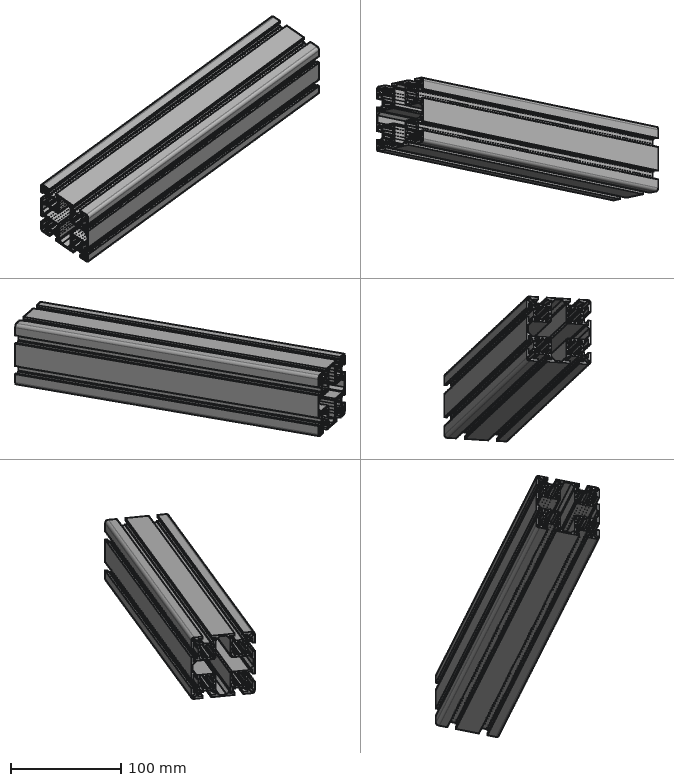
import cadquery as cq
import math

length = 300.0
width = 60.0
half_width = width / 2
half_module = half_width / 2
corner_radius = 3.0

skin = 1.5
lip_thickness = 2.25
slot_opening = 8.0
slot_depth = 6.0
slot_width = 16.8
ledge_depth = 4.2
slot_floor_width = 12.3
recess_width = 7.5

strut_slot_side = 3.0
strut_hollow_side = 1.8

core_half = 8.0
core_wall = 1.05
core_hole_half = core_half - core_wall
core_hole_chamfer = 1.0
hollow_floor_reach = 15.0

teeth_bore_radius = 6.0
teeth_span = 6.5
notch_width = 1.8

cross_half = half_module - core_half
cross_corner_chamfer = core_hole_chamfer + (2 - math.sqrt(2)) * core_wall

QUARTER_TURNS = (0, 90, 180, 270)


def prism(outline):
    """Extrude a closed section outline over the full length, centred on Y = 0."""
    return outline.extrude(length / 2, both=True)


def polygon(points):
    return prism(cq.Workplane("XZ").polyline(points).close())


def square(half_side):
    return prism(cq.Workplane("XZ").rect(2 * half_side, 2 * half_side))


def turned(body, angle):
    """Turn a body about the Y axis."""
    return body.rotate((0, 0, 0), (0, 1, 0), angle)


def t_slot():
    """Slot in the +Z face of a module: mouth, wide part with sloped corners, grooved floor."""
    mouth = slot_opening / 2
    under_lip = half_module - lip_thickness
    floor = half_module - slot_depth
    side = slot_width / 2
    ledge = half_module - ledge_depth
    recess = recess_width / 2
    floor_edge = slot_floor_width / 2
    right_side = [
        (mouth, half_module),
        (mouth, under_lip),
        (side, under_lip),
        (side, side + strut_slot_side),
        (ledge - strut_slot_side, ledge),
        (floor_edge, ledge),
        (floor_edge, floor),
        (recess, floor),
        (recess, core_half),
    ]
    left_side = [(-x, z) for x, z in reversed(right_side)]
    return polygon(right_side + left_side)


def corner_hollow():
    """Closed channel on the diagonal toward the (+X, +Z) corner of a module."""
    outer = half_module - skin
    shoulder = outer - strut_hollow_side
    floor_near = (hollow_floor_reach - strut_hollow_side) / 2
    floor_far = (hollow_floor_reach + strut_hollow_side) / 2
    hollow = polygon([
        (outer, outer),
        (shoulder, outer),
        (floor_near, floor_far),
        (floor_far, floor_near),
        (outer, shoulder),
    ])
    corner_edge = cq.selectors.NearestToPointSelector((outer, 0, outer))
    return hollow.edges("|Y").edges(corner_edge).fillet(corner_radius - skin)


def teeth_pair():
    """Two teeth on the +Z side of the core hole, parted by a V notch."""
    half_span = teeth_span / 2
    block = polygon([
        (-half_span, 0),
        (half_span, 0),
        (half_span, core_hole_half),
        (-half_span, core_hole_half),
    ])
    bore = prism(cq.Workplane("XZ").circle(teeth_bore_radius))
    notch_base = math.sqrt(teeth_bore_radius**2 - (notch_width / 2) ** 2)
    notch = polygon([
        (-notch_width / 2, notch_base),
        (-notch_width / 2, 0),
        (notch_width / 2, 0),
        (notch_width / 2, notch_base),
        (0, core_hole_half),
    ])
    return block.cut(bore).cut(notch)


def core_hole():
    hole = square(core_hole_half).edges("|Y").chamfer(core_hole_chamfer)
    teeth = teeth_pair()
    for angle in QUARTER_TURNS:
        hole = hole.cut(turned(teeth, angle))
    return hole


def cross_arm():
    """Upper arm of the central cross cavity, widening along the struts below the skin."""
    outer = half_width - skin
    strut_start = half_module + core_half + strut_hollow_side
    strut_end_x = cross_half - (outer - strut_start)
    return polygon([
        (-cross_half, 0),
        (cross_half, 0),
        (cross_half, strut_start),
        (strut_end_x, outer),
        (-strut_end_x, outer),
        (-cross_half, strut_start),
    ])


def cross_cavity():
    arm = cross_arm()
    cavity = arm
    for angle in QUARTER_TURNS[1:]:
        cavity = cavity.union(turned(arm, angle))
    reach = cross_half + skin
    inner_corners = cq.selectors.BoxSelector(
        (-reach, -length, -reach),
        (reach, length, reach),
    )
    return cavity.edges("|Y").edges(inner_corners).chamfer(cross_corner_chamfer)


def module_cavities():
    """All cavities of the module in the (+X, +Z) quadrant."""
    slot = t_slot()
    bodies = [slot, turned(slot, 90), corner_hollow(), core_hole()]
    return [body.translate((half_module, 0, half_module)) for body in bodies]


result = square(half_width).edges("|Y").fillet(corner_radius)
result = result.cut(cross_cavity())
for cavity in module_cavities():
    for angle in QUARTER_TURNS:
        result = result.cut(turned(cavity, angle))